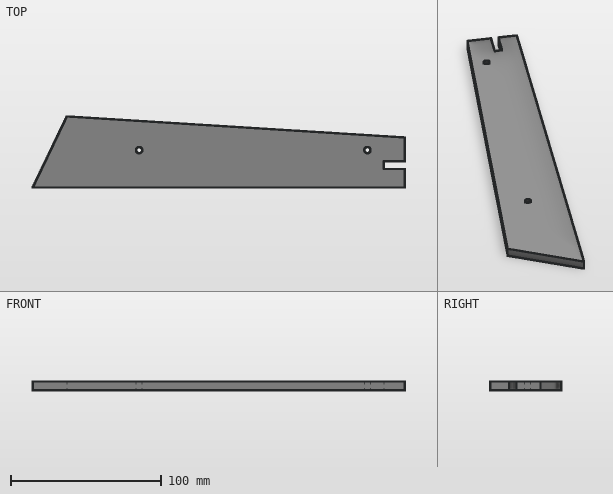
import cadquery as cq

length = 248.02
left_peak_height = 47.53
right_end_height = 33.5
peak_offset = 22.8
thickness = 6.0

hole_diameter = 4.0
hole_height = 25.0
hole_positions_x = (71.0, 223.0)

slot_depth = 14.0
slot_bottom = 12.5
slot_width = 5.0


def make_plate():
    outline = [
        (0, 0),
        (length, 0),
        (length, right_end_height),
        (peak_offset, left_peak_height),
    ]
    return cq.Workplane("XY").polyline(outline).close().extrude(thickness)


def make_holes():
    centres = [(x, hole_height) for x in hole_positions_x]
    return cq.Workplane("XY").pushPoints(centres).circle(hole_diameter / 2).extrude(thickness)


def make_end_slot():
    return (
        cq.Workplane("XY")
        .box(slot_depth, slot_width, thickness, centered=False)
        .translate((length - slot_depth, slot_bottom, 0))
    )


result = make_plate().cut(make_holes()).cut(make_end_slot())